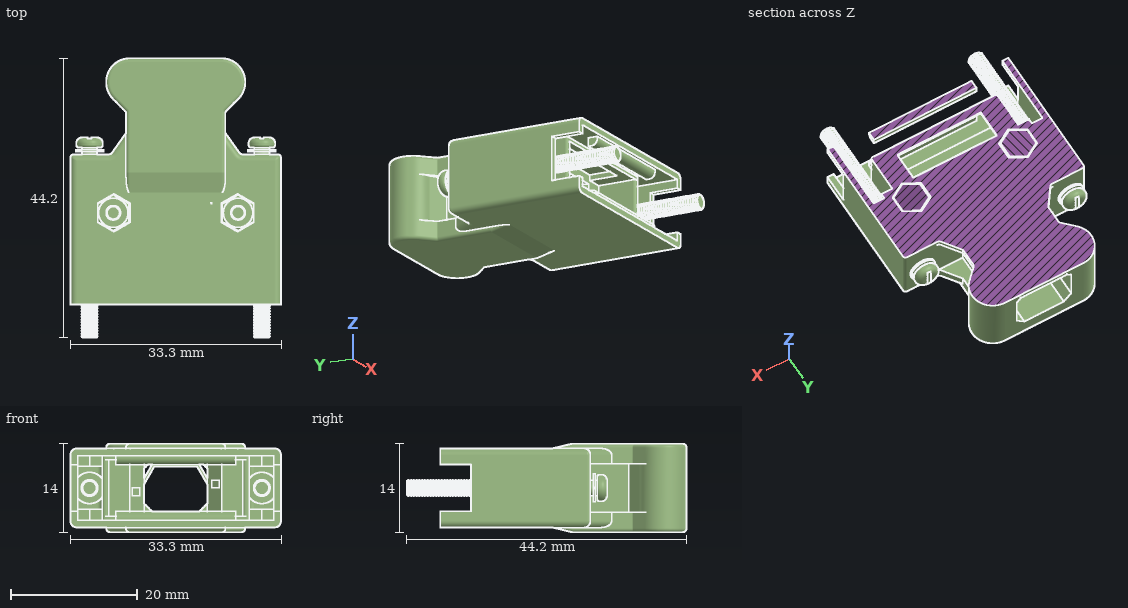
import cadquery as cq
import math

SHELL_W = 33.3
SHELL_H = 12.5
SHELL_L = 23.75
SHELL_ROUND = 1.0
CORNER_ROUND = 0.5
SHOULDER_FOOT_X = 10.25
SHOULDER_RISE = 3.35
SHOULDER_FOOT_ROUND = 0.7
WALL = 1.15

TOTAL_H = 14.0
GRIP_END_Y = 38.95
GRIP_NECK_X = 7.85
GRIP_LOBE_R = 3.8
GRIP_LOBE_X = 7.2
GRIP_RAMP_START_Y = 17.7
GRIP_RAMP_TOP_Y = 20.85
GRIP_ROUND = 0.6
GRIP_NECK_ROUND = 0.25
GRIP_WAIST_X = 5.92
GRIP_WAIST_END_Y = 29.8
GRIP_WAIST_SLOPE_ANGLE = 35
GRIP_FLANGE_Z = 3.8

NOTCH_L = 4.9
NOTCH_H = 7.35
PARTITION_Y = 4.85
PARTITION_X = 10.6
PARTITION_T = 1.0
PARTITION_ROUND = 0.45
CAVITY_BACK_Y = 11.5
CAVITY_H = 8.97
FLOOR_RECESS_X = 7.65
FLOOR_RECESS_Y = 6.6
FLOOR_RECESS_DEPTH = 0.95
FUNNEL_MOUTH_X = 7.3
FUNNEL_END_Y = 17.7
THROAT_X = 5.0
THROAT_H = 7.6
THROAT_LOW_CHAMFER = 1.35
THROAT_HIGH_CHAMFER = 0.75
WALL_POCKET_Z = 1.2
WALL_POCKET_INNER_X = 5.65
WALL_POCKET_OUTER_X = 6.9
WALL_POCKET_DEPTH = 0.2
LATCH_X = 9.45
LATCH_Y = 0.7
LATCH_D = 1.6
LATCH_H = 1.4
LATCH_ROUND = 1.0
CHANNEL_STEP = 0.9
CHANNEL_DEEP_H = 6.8
CHANNEL_ROUND = 0.75
CHANNEL_BACK_Y = 21.2
SCREW_BOSS_D = 4.95
SCREW_BOSS_L = 1.33

SCREW_X = 13.6
TOTAL_L = 44.2
SCREW_TIP_Y = GRIP_END_Y - TOTAL_L
THREAD_D = 2.6
THREAD_ROOT_D = 2.2
THREAD_PITCH = 0.45
THREAD_TURNS = 42
SHANK_D = 2.45
HEAD_D = 4.25
HEAD_UNDERSIDE_Y = 24.8
HEAD_RIM_Y = 25.33
HEAD_TOP_Y = 26.45
HEAD_TOP_D = 2.4
HEAD_UNDERSIDE_D = 3.7
HEAD_UNDERCUT_BULGE = 0.1
HEAD_DOME_BULGE = 0.3
HEAD_SLOT_W = 0.57
HEAD_SLOT_DEPTH = 0.18
WASHER_D = 4.4
WASHER_Y = 24.18
WASHER_T = 0.3
WASHER_SPLIT = 0.2

NUT_X = 9.85
NUT_Y = 14.5
NUT_FLATS = 4.95
NUT_CHAMFER_D = 4.65
NUT_H = 1.45
NUT_BELOW_SURFACE = 0.15
NUT_POCKET_FLATS = 5.15
NUT_POCKET_X = 9.75
NUT_HOLE_D = 2.3
NUT_HOLE_FLOOR_D = 2.0
NUT_HOLE_DEPTH = 0.25

CLAMP_T = 0.5
CLAMP_LEG_ANGLE = 60
CLAMP_INNER_FLAT_X = 3.4
CLAMP_Y = 19.45
CLAMP_W = 2.65

INNER_X = SHELL_W / 2 - WALL
INNER_H = SHELL_H - 2 * WALL
SIDES = (-1, 1)
OVERSHOOT = 0.45
PICK_MARGIN = 0.05


def edges_along_z(body, x, y):
    """The edges parallel to Z that run through one place in XY."""
    around = cq.selectors.BoxSelector(
        (x - PICK_MARGIN, y - PICK_MARGIN, -TOTAL_H), (x + PICK_MARGIN, y + PICK_MARGIN, TOTAL_H)
    )
    return body.edges("|Z").edges(around)


def box(x0, x1, y0, y1, height, z_middle=0):
    """Box between two X and two Y places, centred on z_middle."""
    return cq.Workplane("XY").box(abs(x1 - x0), y1 - y0, height).translate(
        ((x0 + x1) / 2, (y0 + y1) / 2, z_middle)
    )


def plate(points, height):
    """Polygon in XY, thickened equally to both sides of Z = 0."""
    return cq.Workplane("XY").polyline(points).close().extrude(height / 2, both=True)


def hexagon(flats, height):
    """Hexagonal prism standing on Z = 0 with two flats facing +X and -X."""
    corner_d = flats / math.cos(math.pi / 6)
    return cq.Workplane("XY").polygon(6, corner_d).extrude(height).rotate((0, 0, 0), (0, 0, 1), 30)


def shell_block():
    """Rounded block of the shell with shoulders rising to the grip."""
    half_w = SHELL_W / 2
    shoulder_top_y = SHELL_L + SHOULDER_RISE
    block = plate(
        [
            (-half_w, 0),
            (half_w, 0),
            (half_w, SHELL_L),
            (SHOULDER_FOOT_X, SHELL_L),
            (GRIP_NECK_X, shoulder_top_y),
            (-GRIP_NECK_X, shoulder_top_y),
            (-SHOULDER_FOOT_X, SHELL_L),
            (-half_w, SHELL_L),
        ],
        SHELL_H,
    )
    for side in SIDES:
        block = edges_along_z(block, side * SHOULDER_FOOT_X, SHELL_L).fillet(SHOULDER_FOOT_ROUND)
    block = block.faces(">Z or <Z").edges("not <Y").fillet(SHELL_ROUND)
    for side in SIDES:
        block = edges_along_z(block, side * half_w, SHELL_L).fillet(CORNER_ROUND)
    return block


def grip():
    """T-shaped cable end with two end lobes, front ramps and a waist between its flanges."""
    lobe_y = GRIP_END_Y - GRIP_LOBE_R
    diagonal = GRIP_LOBE_R / math.sqrt(2)
    tangent_x = GRIP_LOBE_X + diagonal
    tangent_y = lobe_y - diagonal
    neck_top_y = tangent_y - (tangent_x - GRIP_NECK_X)
    bulge_x = GRIP_LOBE_X + GRIP_LOBE_R * math.cos(math.pi / 8)
    bulge_y = lobe_y + GRIP_LOBE_R * math.sin(math.pi / 8)
    body = (
        cq.Workplane("XY")
        .moveTo(-GRIP_NECK_X, GRIP_RAMP_START_Y)
        .lineTo(GRIP_NECK_X, GRIP_RAMP_START_Y)
        .lineTo(GRIP_NECK_X, neck_top_y)
        .lineTo(tangent_x, tangent_y)
        .threePointArc((bulge_x, bulge_y), (GRIP_LOBE_X, GRIP_END_Y))
        .lineTo(-GRIP_LOBE_X, GRIP_END_Y)
        .threePointArc((-bulge_x, bulge_y), (-tangent_x, tangent_y))
        .lineTo(-GRIP_NECK_X, neck_top_y)
        .close()
        .extrude(TOTAL_H / 2, both=True)
    )
    side_outline = (
        cq.Workplane("YZ")
        .polyline(
            [
                (GRIP_RAMP_START_Y, -SHELL_H / 2),
                (GRIP_RAMP_TOP_Y, -TOTAL_H / 2),
                (GRIP_END_Y, -TOTAL_H / 2),
                (GRIP_END_Y, TOTAL_H / 2),
                (GRIP_RAMP_TOP_Y, TOTAL_H / 2),
                (GRIP_RAMP_START_Y, SHELL_H / 2),
            ]
        )
        .close()
        .extrude(SHELL_W / 2, both=True)
    )
    for side in SIDES:
        body = edges_along_z(body, side * GRIP_NECK_X, neck_top_y).fillet(GRIP_NECK_ROUND)
    body = body.intersect(side_outline)
    rims = body.faces("not #Z").edges("(not |X) or >Y")
    return rims.fillet(GRIP_ROUND)


def waist_cut(side):
    """Pocket beside the grip, between its flanges, that clears a screw head and spares the lobe."""
    far_x = SHELL_W / 2 + OVERSHOOT
    slope_rise = (far_x - GRIP_WAIST_X) * math.tan(math.radians(GRIP_WAIST_SLOPE_ANGLE))
    pocket = plate(
        [
            (side * GRIP_WAIST_X, SHELL_L),
            (side * far_x, SHELL_L),
            (side * far_x, GRIP_WAIST_END_Y + slope_rise),
            (side * GRIP_WAIST_X, GRIP_WAIST_END_Y),
        ],
        2 * GRIP_FLANGE_Z,
    )
    lobe = (
        cq.Workplane("XY")
        .center(side * GRIP_LOBE_X, GRIP_END_Y - GRIP_LOBE_R)
        .circle(GRIP_LOBE_R)
        .extrude(TOTAL_H / 2, both=True)
    )
    return pocket.cut(lobe)


def cavity():
    """Open mouth, the plug cavity behind it, the floor and ceiling recesses and the cable throat."""
    mouth = box(-INNER_X, INNER_X, -OVERSHOOT, PARTITION_Y, INNER_H)
    plug = box(-PARTITION_X, PARTITION_X, PARTITION_Y - OVERSHOOT, CAVITY_BACK_Y, CAVITY_H)
    recess = box(
        -FLOOR_RECESS_X,
        FLOOR_RECESS_X,
        FLOOR_RECESS_Y,
        CAVITY_BACK_Y,
        CAVITY_H + 2 * FLOOR_RECESS_DEPTH,
    )
    funnel = plate(
        [
            (-FUNNEL_MOUTH_X, CAVITY_BACK_Y),
            (FUNNEL_MOUTH_X, CAVITY_BACK_Y),
            (THROAT_X, FUNNEL_END_Y),
            (-THROAT_X, FUNNEL_END_Y),
        ],
        THROAT_H,
    )
    throat = box(-THROAT_X, THROAT_X, FUNNEL_END_Y, GRIP_END_Y + OVERSHOOT, THROAT_H)
    throat = throat.edges("|Y and <Z").chamfer(THROAT_LOW_CHAMFER)
    throat = throat.edges("|Y and >Z").chamfer(THROAT_HIGH_CHAMFER)
    return mouth.union(plug).union(recess).union(funnel).union(throat)


def wall_pocket(side):
    """Shallow pocket in a sloping funnel wall, above the middle plane at +X and below it at -X."""
    slope = (FUNNEL_END_Y - CAVITY_BACK_Y) / (FUNNEL_MOUTH_X - THROAT_X)

    def wall_y(x):
        return CAVITY_BACK_Y + (FUNNEL_MOUTH_X - x) * slope

    inner_y = wall_y(WALL_POCKET_INNER_X)
    outer_y = wall_y(WALL_POCKET_OUTER_X)
    pocket = plate(
        [
            (side * WALL_POCKET_INNER_X, inner_y),
            (side * WALL_POCKET_OUTER_X, outer_y),
            (side * WALL_POCKET_OUTER_X, outer_y + WALL_POCKET_DEPTH * slope),
            (side * WALL_POCKET_INNER_X, inner_y + WALL_POCKET_DEPTH * slope),
        ],
        WALL_POCKET_Z,
    )
    return pocket.translate((0, 0, side * WALL_POCKET_Z / 2))


def screw_channel(side):
    """Stepped channel for a jack screw, with a round boss left standing at its back wall."""
    partition_outer_x = PARTITION_X + PARTITION_T
    start_y = PARTITION_Y - OVERSHOOT
    step_y = CAVITY_BACK_Y + CHANNEL_STEP
    inner_part = box(side * partition_outer_x, side * SCREW_X, start_y, CAVITY_BACK_Y, INNER_H)
    outer_part = box(side * SCREW_X, side * INNER_X, start_y, step_y, INNER_H)
    deep_part = box(
        side * partition_outer_x, side * INNER_X, CAVITY_BACK_Y - OVERSHOOT, CHANNEL_BACK_Y, CHANNEL_DEEP_H
    )
    inner_edge = "<X" if side > 0 else ">X"
    deep_part = deep_part.faces(">Y").edges(inner_edge).fillet(CHANNEL_ROUND)
    boss = along_y(side, SCREW_BOSS_D, CHANNEL_BACK_Y - SCREW_BOSS_L, CHANNEL_BACK_Y)
    return inner_part.union(outer_part).union(deep_part.cut(boss))


def along_y(side, diameter, start_y, end_y):
    """Cylinder on a jack screw's axis."""
    return (
        cq.Workplane("XZ", origin=(side * SCREW_X, start_y, 0))
        .circle(diameter / 2)
        .extrude(start_y - end_y)
    )


def round_partition(body, side):
    """Round the front edges of the partition between the plug cavity and a screw channel."""
    for partition_face_x in (PARTITION_X, PARTITION_X + PARTITION_T):
        body = edges_along_z(body, side * partition_face_x, PARTITION_Y).fillet(PARTITION_ROUND)
    return body


def latch_bar(side):
    """Bar with a rounded front edge, on the ceiling or the floor of the mouth."""
    wall_z = INNER_H / 2
    bar = box(-LATCH_X, LATCH_X, LATCH_Y, LATCH_Y + LATCH_D, LATCH_H, side * (wall_z - LATCH_H / 2))
    free_face = "<Z" if side > 0 else ">Z"
    return bar.faces("<Y").edges(free_face).fillet(LATCH_ROUND)


def nut_pocket(side):
    """Hexagonal pocket in the top face that takes a nut."""
    depth = NUT_BELOW_SURFACE + NUT_H
    return hexagon(NUT_POCKET_FLATS, depth).translate(
        (side * NUT_POCKET_X, NUT_Y, SHELL_H / 2 - depth)
    )


def side_notches():
    """Slots in both side walls, open at the mating face."""
    slot = box(-SHELL_W, SHELL_W, -OVERSHOOT, NOTCH_L, NOTCH_H)
    return slot.cut(box(-INNER_X, INNER_X, -OVERSHOOT, NOTCH_L, NOTCH_H))


def make_housing():
    body = shell_block().union(grip())
    body = body.cut(cavity())
    body = body.cut(side_notches())
    for side in SIDES:
        body = body.cut(waist_cut(side))
        body = body.cut(screw_channel(side))
        body = body.cut(along_y(side, SHANK_D, CAVITY_BACK_Y, SHELL_L + OVERSHOOT))
        body = body.cut(wall_pocket(side))
        body = body.cut(nut_pocket(side))
        body = round_partition(body, side)
        body = body.union(latch_bar(side))
    return body


def make_jack_screw(side):
    """Jack screw with a ringed thread, a captive split washer and a slotted round head."""
    thread_end_y = SCREW_TIP_Y + THREAD_TURNS * THREAD_PITCH
    profile = cq.Workplane("XY").moveTo(0, SCREW_TIP_Y).lineTo(THREAD_ROOT_D / 2, SCREW_TIP_Y)
    for turn in range(THREAD_TURNS):
        turn_y = SCREW_TIP_Y + turn * THREAD_PITCH
        profile = profile.lineTo(THREAD_D / 2, turn_y + THREAD_PITCH / 2)
        profile = profile.lineTo(THREAD_ROOT_D / 2, turn_y + THREAD_PITCH)
    washer_top_y = WASHER_Y + WASHER_T
    profile = (
        profile.lineTo(SHANK_D / 2, thread_end_y)
        .lineTo(SHANK_D / 2, WASHER_Y)
        .lineTo(WASHER_D / 2, WASHER_Y)
        .lineTo(WASHER_D / 2, washer_top_y)
        .lineTo(SHANK_D / 2, washer_top_y)
        .lineTo(SHANK_D / 2, HEAD_UNDERSIDE_Y)
        .lineTo(HEAD_UNDERSIDE_D / 2, HEAD_UNDERSIDE_Y)
        .sagittaArc((HEAD_D / 2, HEAD_RIM_Y), -HEAD_UNDERCUT_BULGE)
        .sagittaArc((HEAD_TOP_D / 2, HEAD_TOP_Y), -HEAD_DOME_BULGE)
        .lineTo(0, HEAD_TOP_Y)
        .close()
    )
    screw = profile.revolve(360, (0, 0, 0), (0, 1, 0))
    slot = box(
        -HEAD_SLOT_W / 2, HEAD_SLOT_W / 2, HEAD_TOP_Y - HEAD_SLOT_DEPTH, HEAD_TOP_Y + OVERSHOOT, HEAD_D
    )
    split = box(SHANK_D / 2, WASHER_D, WASHER_Y, washer_top_y, WASHER_SPLIT)
    return screw.cut(slot).cut(split).translate((side * SCREW_X, 0, 0))


def make_nut(side):
    """Hexagonal nut with a chamfered top and a shallow tapered hole."""
    corner_r = NUT_FLATS / math.sqrt(3)
    chamfer_drop = (corner_r - NUT_CHAMFER_D / 2) * math.tan(math.pi / 6)
    turned = (
        cq.Workplane("XZ")
        .polyline(
            [
                (0, 0),
                (corner_r, 0),
                (corner_r, NUT_H - chamfer_drop),
                (NUT_CHAMFER_D / 2, NUT_H),
                (NUT_HOLE_D / 2, NUT_H),
                (NUT_HOLE_FLOOR_D / 2, NUT_H - NUT_HOLE_DEPTH),
                (0, NUT_H - NUT_HOLE_DEPTH),
            ]
        )
        .close()
        .revolve(360, (0, 0, 0), (0, 1, 0))
    )
    base_z = SHELL_H / 2 - NUT_BELOW_SURFACE - NUT_H
    return hexagon(NUT_FLATS, NUT_H).intersect(turned).translate((side * NUT_X, NUT_Y, base_z))


def make_cable_clamp():
    """Strap under the throat ceiling with two sloping legs that end on the throat walls."""
    slope = math.tan(math.radians(CLAMP_LEG_ANGLE))
    top_z = THROAT_H / 2
    inner_z = top_z - CLAMP_T
    outer_flat_x = CLAMP_INNER_FLAT_X + CLAMP_T * math.tan(math.radians(CLAMP_LEG_ANGLE / 2))
    outer_foot_z = top_z - (THROAT_X - outer_flat_x) * slope
    inner_foot_z = inner_z - (THROAT_X - CLAMP_INNER_FLAT_X) * slope
    return (
        cq.Workplane("XZ", origin=(0, CLAMP_Y, 0))
        .polyline(
            [
                (-THROAT_X, inner_foot_z),
                (-CLAMP_INNER_FLAT_X, inner_z),
                (CLAMP_INNER_FLAT_X, inner_z),
                (THROAT_X, inner_foot_z),
                (THROAT_X, outer_foot_z),
                (outer_flat_x, top_z),
                (-outer_flat_x, top_z),
                (-THROAT_X, outer_foot_z),
            ]
        )
        .close()
        .extrude(-CLAMP_W)
    )


housing = make_housing()
jack_screws = [make_jack_screw(side) for side in SIDES]
nuts = [make_nut(side) for side in SIDES]
cable_clamp = make_cable_clamp()

result = cq.Compound.makeCompound(
    [
        housing.val(),
        *[screw.val() for screw in jack_screws],
        *[nut.val() for nut in nuts],
        cable_clamp.val(),
    ]
)